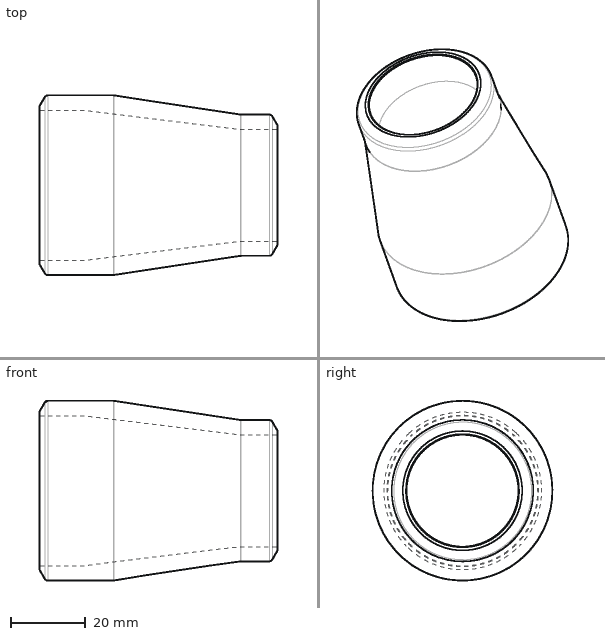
import cadquery as cq

length = 64.0
large_diameter = 48.3
small_diameter = 38.0
large_bore = 40.3
small_bore = 30.0
large_length = 20.0
small_length = 10.0
large_bore_length = 12.0

land_width = 1.0
bevel_depth = 1.7
bevel_round = 1.0
bore_break = 0.2

shoulder_round = 1.0
taper_end = length - small_length


def revolve_profile(points):
    """Revolve an axial-radial outline about the X axis."""
    return cq.Workplane("XZ").polyline(points).close().revolve(360, (0, 0, 0), (1, 0, 0))


def outer_body():
    large_radius = large_diameter / 2
    small_radius = small_diameter / 2
    body = revolve_profile([
        (0, 0),
        (0, large_bore / 2 + land_width),
        (bevel_depth, large_radius),
        (large_length, large_radius),
        (taper_end, small_radius),
        (length - bevel_depth, small_radius),
        (length, small_bore / 2 + land_width),
        (length, 0),
    ])
    for position in (bevel_depth, length - bevel_depth):
        body = body.edges(ring_at(position)).fillet(bevel_round)
    for position in (large_length, taper_end):
        body = body.edges(ring_at(position)).fillet(shoulder_round)
    return body


def ring_at(position):
    """Select the circular edge lying in the plane X = position."""
    margin = 0.03
    reach = large_diameter
    return cq.selectors.BoxSelector(
        (position - margin, -reach, -reach), (position + margin, reach, reach)
    )


def bore():
    large_radius = large_bore / 2
    small_radius = small_bore / 2
    return revolve_profile([
        (0, 0),
        (0, large_radius + bore_break),
        (bore_break, large_radius),
        (large_bore_length, large_radius),
        (taper_end, small_radius),
        (length - bore_break, small_radius),
        (length, small_radius + bore_break),
        (length, 0),
    ])


result = outer_body().cut(bore())